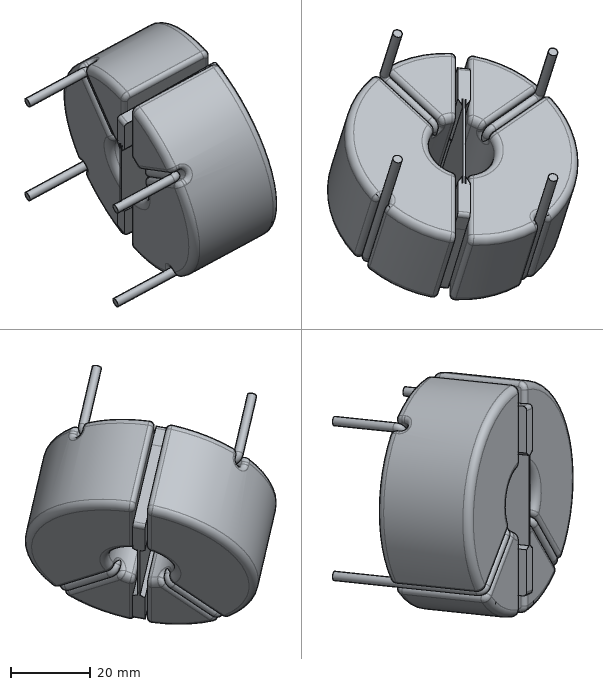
import cadquery as cq
import math

outer_radius = 30.0
bore_radius = 8.45
body_depth = 26.3
slit_width = 3.2
rim_fillet = 2.0
slit_fillet = 1.25

plate_depth = 30.05
plate_height_back = 49.1
plate_height_front = 47.3
plate_straight_depth = 5.9
plate_corner_radius = 1.1
web_thickness = 0.65

window_web_front = 11.05
window_wall_front = 13.2
window_web_back = 11.65
window_wall_back = 12.5

slot_width = 0.2
slot_depth = 0.3
slot_end_z = 13.25

lead_angle = 45.0
wire_radius = 1.2
wire_bend_radius = 1.55
pin_circle_radius = 28.25
inner_circle_radius = 9.7
pin_length = 16.85
front_wire_depth = 1.8
back_wire_depth = 1.1
wire_end_length = 2.4
groove_radius = 1.3
groove_fillet = 1.3
front_groove_depth = 2.7
back_groove_depth = 1.8

body_front = -body_depth / 2
body_back = body_depth / 2
plate_front = -plate_depth / 2
plate_back = plate_depth / 2
pin_tip = body_front - pin_length
tolerance = 0.005


def half_ring():
    """The half of the ring on the +X side of the slit, with rounded edges."""
    ring = (
        cq.Workplane("XZ", origin=(0, body_back, 0))
        .circle(outer_radius)
        .circle(bore_radius)
        .extrude(body_depth)
    )
    one_side = cq.Workplane("XY", origin=(slit_width / 2 + outer_radius / 2, 0, 0)).box(
        outer_radius, 2 * body_depth, 3 * outer_radius
    )
    half = ring.intersect(one_side)
    half = half.faces("|Y").edges("%CIRCLE").fillet(rim_fillet)
    return half.faces("<X").edges().fillet(slit_fillet)


def channel(start, axis, mouth, length):
    """A round-bottomed channel along `axis`, open towards `mouth`."""
    plane = cq.Plane(origin=start, xDir=mouth, normal=axis)
    reach = outer_radius
    bottom = cq.Workplane(plane).circle(groove_radius).extrude(length)
    opening = cq.Workplane(plane).center(reach / 2, 0).rect(reach, 2 * groove_radius).extrude(length)
    return bottom.union(opening)


def front_groove():
    """Radial channel across the front face, for a lead along +X."""
    start = (bore_radius / 2, body_front + front_groove_depth, 0)
    return channel(start, (1, 0, 0), (0, -1, 0), outer_radius)


def side_and_back_groove():
    """Channel along the rim that turns inwards across the back face."""
    along_rim = channel((pin_circle_radius, -body_depth, 0), (0, 1, 0), (1, 0, 0), 2 * body_depth)
    start = (bore_radius / 2, body_back - back_groove_depth, 0)
    return along_rim.union(channel(start, (1, 0, 0), (0, 1, 0), outer_radius))


def cut_rounded_groove(body, groove):
    """Cuts a groove along +X and rounds its mouth, the edges lying on the old surface."""
    surface = body.val().Shells()[0]
    grooved = body.cut(groove)
    strip_edge = groove_radius + tolerance
    near = grooved.edges(
        cq.selectors.BoxSelector(
            (0, -body_depth, -strip_edge),
            (2 * outer_radius, body_depth, strip_edge),
            boundingbox=True,
        )
    )

    def on_surface(edge):
        point = edge.positionAt(0.5)
        return surface.distance(cq.Vertex.makeVertex(*point.toTuple())) < tolerance

    return near.filter(on_surface).fillet(groove_fillet)


def lead(wire_y, dive):
    """Wire along +X: a pin, a bend, a run across a face and a bend down into the groove floor.

    `wire_y` is where the run lies; `dive` is +1 to end towards +Y and -1 to end towards -Y.
    """
    bend = wire_bend_radius
    corner = bend * (1 - math.sqrt(0.5))
    path = (
        cq.Workplane("XY")
        .moveTo(pin_circle_radius, pin_tip)
        .lineTo(pin_circle_radius, wire_y - bend)
        .threePointArc(
            (pin_circle_radius - corner, wire_y - corner),
            (pin_circle_radius - bend, wire_y),
        )
        .lineTo(inner_circle_radius + bend, wire_y)
        .threePointArc(
            (inner_circle_radius + corner, wire_y + dive * corner),
            (inner_circle_radius, wire_y + dive * bend),
        )
        .lineTo(inner_circle_radius, wire_y + dive * (bend + wire_end_length))
    )
    pin_end = cq.Plane(origin=(pin_circle_radius, pin_tip, 0), normal=(0, 1, 0))
    return cq.Workplane(pin_end).circle(wire_radius).sweep(path)


def turned(shape, angle):
    return shape.rotate((0, 0, 0), (0, 1, 0), angle)


def half_with_leads():
    """The +X half with its upper (front) lead and its lower (side and back) lead."""
    front_lead = lead(body_front + front_wire_depth, 1)
    back_lead = lead(body_back - back_wire_depth, -1)
    half = half_ring()
    for angle, groove, wire in (
        (-lead_angle, front_groove(), front_lead),
        (lead_angle, side_and_back_groove(), back_lead),
    ):
        lead_along_x = cut_rounded_groove(turned(half, -angle), groove).union(wire)
        half = turned(lead_along_x, angle)
    return half


def window_part(start_y, web_z, wall_z):
    """Half the depth of the window on the +X side of the web, with sloping ends."""
    return (
        cq.Workplane("XZ", origin=(0, start_y + plate_depth / 2, 0))
        .moveTo(web_thickness / 2, -web_z)
        .lineTo(slit_width / 2, -wall_z)
        .lineTo(slit_width / 2, wall_z)
        .lineTo(web_thickness / 2, web_z)
        .close()
        .extrude(plate_depth / 2)
    )


def slots():
    """The shallow slots on the +X side of the web, running past both ends of the window."""
    return cq.Workplane("XY", origin=(web_thickness / 2, plate_front, 0)).box(
        slot_width, slot_depth, 2 * slot_end_z, centered=(False, False, True)
    )


def divider_plate():
    top_front = plate_height_front / 2
    top_back = plate_height_back / 2
    straight_end = plate_front + plate_straight_depth
    plate = (
        cq.Workplane("YZ", origin=(-slit_width / 2, 0, 0))
        .moveTo(plate_front, -top_front)
        .lineTo(straight_end, -top_front)
        .lineTo(plate_back, -top_back)
        .lineTo(plate_back, top_back)
        .lineTo(straight_end, top_front)
        .lineTo(plate_front, top_front)
        .close()
        .extrude(slit_width)
        .faces("<Y or >Y")
        .edges("|X")
        .fillet(plate_corner_radius)
    )
    front_window = window_part(plate_front, window_web_front, window_wall_front)
    back_window = window_part(0, window_web_back, window_wall_back)
    opening = front_window.union(back_window).union(slots())
    return plate.cut(opening).cut(opening.mirror("YZ"))


half = half_with_leads()
result = divider_plate().union(half).union(half.mirror("YZ"))